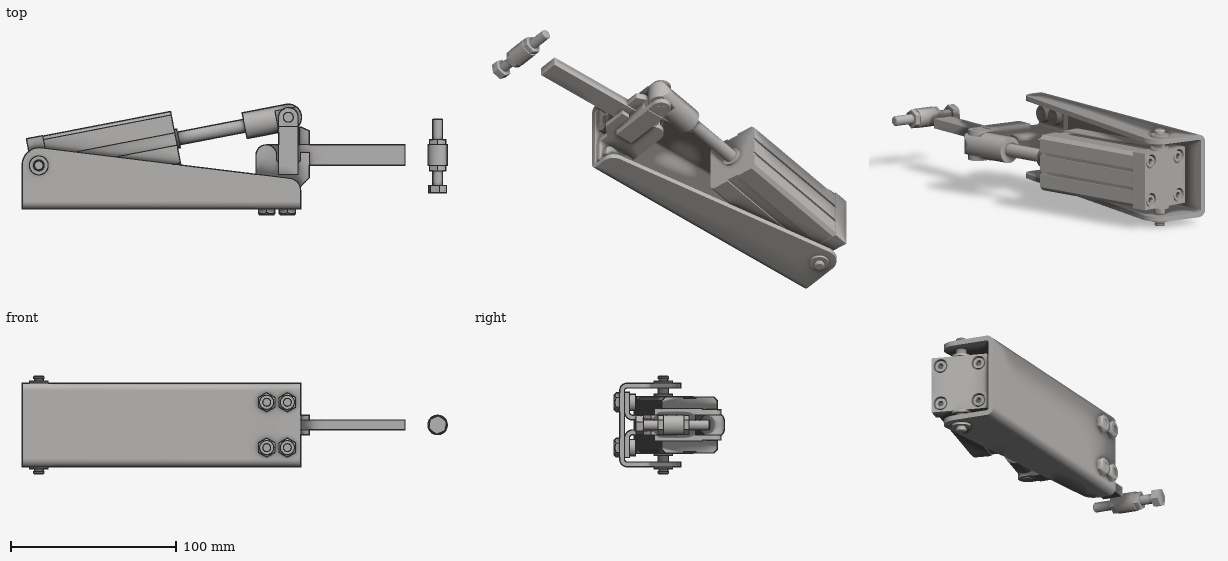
import cadquery as cq
import math


channel_length = 168.4
channel_width = 50.6
sheet = 3.0
bend_radius = 4.5
flange_line_height = 38.45
flange_slope = math.radians(7)
rear_corner_radius = 10.4
front_corner_radius = 7.5

pivot_x, pivot_y = 10.1, 26.4
joint_x, joint_y = 160.9, 55.5
stroke_reach = math.hypot(joint_x - pivot_x, joint_y - pivot_y)
tilt = math.degrees(math.atan2(joint_y - pivot_y, joint_x - pivot_x))
joint_pin_radius = 3.0
joint_pin_length = 19.0

cap_size = 34.6
barrel_size = 34.0
cap_back, cap_front = -4.4, 5.7
barrel_end = 84.4
barrel_chamfer = 2.2
side_slot_width, side_slot_depth = 7.6, 1.0
top_groove_spacing, top_groove_width, top_groove_depth = 11.4, 2.2, 1.0
cap_screw_pitch = 23.8
cap_screw_head_radius, cap_screw_bore_radius = 3.3, 4.4
cap_screw_bore_depth, cap_screw_head_height = 4.0, 3.4
cap_screw_socket = 4.0
nose_radius, nose_length = 5.8, 1.6
rod_radius = 4.0
rod_end_radius = 8.0
rod_end_start, rod_flat_start = 126.6, 146.3
rod_flat_thickness = 12.0

trunnion_radius = 3.25
trunnion_length = 59.0
trunnion_chamfer = 0.6
groove_radius, groove_length = 2.7, 1.4
washer_radius, washer_thickness = 5.7, 1.3

bar_thickness, bar_bottom, bar_top, bar_end = 6.0, 26.4, 38.9, 231.4
bracket_thickness = 3.0
bracket_back, bracket_foot_front, bracket_front = 141.3, 167.4, 173.6
lobe_radius = 6.25
valley_height, valley_fillet = 28.4, 1.5
ear_step_x, ear_height = 168.2, 34.3
ear_chamfer = bracket_front - bracket_foot_front
ear_chamfer_height = 19.0
foot_half_width = 19.8
inner_bend_radius = 1.8
lug_thickness = 4.0
lug_top, lug_chamfer_length, lug_chamfer_height = 49.6, 4.9, 2.3
link_width, link_thickness = 11.8, 19.6
link_bottom, link_top = 21.0, 50.0
fork_thickness, fork_floor = 18.4, 46.0

bolt_columns = (147.8, 160.3)
bolt_z = 13.7
bolt_radius = 3.0
hex_flats = 10.0
hex_corners = hex_flats / math.cos(math.pi / 6)
bolt_head_radius = 5.0
bolt_head_height, nut_height = 3.7, 3.5
nut_chamfer = 1.5
nut_recess_radius, nut_recess_depth = 2.4, 0.5

spindle_radius = 3.0
sleeve_radius = 5.9
spindle_x = 257.0 - sleeve_radius
head_turn = 11
head_bottom, head_top = 9.8, 14.4
lower_nut_bottom, upper_nut_top = 23.1, 42.0
spindle_top = 54.6
spindle_tip_chamfer = 0.6


def box(x0, x1, y0, y1, z0, z1):
    return cq.Workplane("XY").box(x1 - x0, y1 - y0, z1 - z0, centered=False).translate((x0, y0, z0))


def bar_along_x(radius, x0, x1):
    return cq.Workplane("YZ").workplane(offset=x0).circle(radius).extrude(x1 - x0)


def disc_along_y(radius, x, z, y0, y1):
    plane = cq.Plane(origin=(x, y0, z), xDir=(1, 0, 0), normal=(0, 1, 0))
    return cq.Workplane(plane).circle(radius).extrude(y1 - y0)


def hex_along_y(x, z, y0, y1):
    """Hexagon with two corners pointing along Z."""
    plane = cq.Plane(origin=(x, y0, z), xDir=(0, 0, 1), normal=(0, 1, 0))
    return cq.Workplane(plane).polygon(6, hex_corners).extrude(y1 - y0)


def disc_along_z(radius, x, y, z0, z1):
    return cq.Workplane("XY", origin=(x, y, z0)).circle(radius).extrude(z1 - z0)


def centered_pin(radius, x, y, length):
    return disc_along_z(radius, x, y, -length / 2, length / 2)


def mirrored_pair(half):
    return half.union(half.mirror("XY"))


def make_channel():
    half = channel_width / 2
    section = box(0, channel_length, 0, flange_line_height, -half, half)
    section = section.edges("|X and <Y").fillet(bend_radius)
    inside = box(0, channel_length, sheet, flange_line_height, sheet - half, half - sheet)
    section = section.cut(inside.edges("|X and <Y").fillet(bend_radius - sheet))
    front_height = flange_line_height - channel_length * math.tan(flange_slope)
    side = (
        cq.Workplane("XY", origin=(0, 0, -half))
        .polyline([(0, 0), (channel_length, 0), (channel_length, front_height), (0, flange_line_height)])
        .close()
        .extrude(channel_width)
    )
    side = side.edges("|Z and >Y").fillet(rear_corner_radius)
    front_corner = cq.selectors.NearestToPointSelector((channel_length, front_height, 0))
    side = side.edges(front_corner).fillet(front_corner_radius)
    channel = section.intersect(side)
    channel = channel.cut(centered_pin(trunnion_radius, pivot_x, pivot_y, channel_width))
    for x in bolt_columns:
        for z in (-bolt_z, bolt_z):
            channel = channel.cut(disc_along_y(bolt_radius, x, z, 0, sheet))
    return channel


def make_barrel():
    """Square barrel with chamfered edges, a slot in each side and two grooves in the top."""
    half = barrel_size / 2
    barrel = box(cap_front, barrel_end, -half, half, -half, half).edges("|X").chamfer(barrel_chamfer)
    for side in (-1, 1):
        slot = cq.Workplane("XY").box(2 * barrel_end, side_slot_width, 2 * side_slot_depth)
        barrel = barrel.cut(slot.translate((cap_front + barrel_end, 0, side * half)))
        groove = cq.Workplane("XY").box(2 * barrel_end, 2 * top_groove_depth, top_groove_width)
        barrel = barrel.cut(groove.translate((cap_front + barrel_end, half, side * top_groove_spacing / 2)))
    return barrel


def make_cap():
    """Rear cap with four socket head screws in counterbores."""
    half = cap_size / 2
    back = cq.Workplane("YZ", origin=(cap_back, 0, 0)).rect(
        cap_screw_pitch, cap_screw_pitch, forConstruction=True).vertices()
    bores = back.circle(cap_screw_bore_radius).extrude(cap_screw_bore_depth)
    bore_floor = cq.Workplane("YZ", origin=(cap_back + cap_screw_bore_depth, 0, 0)).rect(
        cap_screw_pitch, cap_screw_pitch, forConstruction=True).vertices()
    heads = bore_floor.circle(cap_screw_head_radius).extrude(-cap_screw_head_height)
    sockets = bore_floor.polygon(6, cap_screw_socket).extrude(-cap_screw_head_height)
    return box(cap_back, cap_front, -half, half, -half, half).cut(bores).union(heads.cut(sockets))


def make_rod():
    """Piston rod and rod end; the rod end is flattened and rounded about the joint pin."""
    nose = bar_along_x(nose_radius, barrel_end, barrel_end + nose_length)
    rod = bar_along_x(rod_radius, barrel_end, rod_end_start)
    rod_end = bar_along_x(rod_end_radius, rod_end_start, stroke_reach + rod_end_radius)
    half_flat = rod_flat_thickness / 2
    rounded_eye = centered_pin(rod_end_radius, stroke_reach, 0, rod_flat_thickness).union(
        box(rod_flat_start, stroke_reach, -rod_end_radius, rod_end_radius, -half_flat, half_flat))
    shank = box(rod_end_start, rod_flat_start, -rod_end_radius, rod_end_radius,
                -rod_end_radius, rod_end_radius)
    rod_end = rod_end.intersect(rounded_eye.union(shank))
    rod_end = rod_end.cut(centered_pin(joint_pin_radius, stroke_reach, 0, rod_flat_thickness))
    return nose.union(rod).union(rod_end)


def make_trunnion():
    """Cross pin with an inner washer on the cap and an outer washer on the channel flange."""
    trunnion = centered_pin(trunnion_radius, 0, 0, trunnion_length)
    trunnion = trunnion.faces("<Z or >Z").chamfer(trunnion_chamfer)
    for start in (cap_size / 2, channel_width / 2):
        washer = disc_along_z(washer_radius, 0, 0, start, start + washer_thickness)
        trunnion = trunnion.union(mirrored_pair(washer))
    groove_start = channel_width / 2 + washer_thickness
    groove_end = groove_start + groove_length
    groove = disc_along_z(trunnion_radius, 0, 0, groove_start, groove_end).cut(
        disc_along_z(groove_radius, 0, 0, groove_start, groove_end))
    return trunnion.cut(mirrored_pair(groove))


def make_cylinder():
    cylinder = make_cap().union(make_barrel()).union(make_rod()).union(make_trunnion())
    return cylinder.rotate((0, 0, 0), (0, 0, 1), tilt).translate((pivot_x, pivot_y, 0))


def make_bracket():
    """Angle bracket on the +Z side: an upright side plate and a foot on the channel web."""
    inner = bar_thickness / 2
    outer = inner + bracket_thickness
    lobe_x = bracket_back + lobe_radius
    plate = (
        cq.Workplane("XY", origin=(0, 0, inner))
        .moveTo(bracket_back, sheet)
        .lineTo(bracket_back, bar_top - lobe_radius)
        .threePointArc((lobe_x, bar_top), (lobe_x + lobe_radius, bar_top - lobe_radius))
        .lineTo(lobe_x + lobe_radius, valley_height)
        .lineTo(ear_step_x, valley_height)
        .lineTo(ear_step_x, ear_height)
        .lineTo(bracket_front, ear_height)
        .lineTo(bracket_front, ear_chamfer_height)
        .lineTo(bracket_foot_front, ear_chamfer_height - ear_chamfer)
        .lineTo(bracket_foot_front, sheet)
        .close()
        .extrude(bracket_thickness)
    )
    for x in (lobe_x + lobe_radius, ear_step_x):
        valley_corner = cq.selectors.NearestToPointSelector((x, valley_height, (inner + outer) / 2))
        plate = plate.edges(valley_corner).fillet(valley_fillet)
    foot_top = sheet + bracket_thickness
    foot = box(bracket_back, bracket_foot_front, sheet, foot_top, inner, foot_half_width)
    bracket = plate.union(foot)
    inside_bend = cq.selectors.NearestToPointSelector((lobe_x, foot_top, outer))
    bracket = bracket.edges(inside_bend).fillet(inner_bend_radius)
    outside_bend = cq.selectors.NearestToPointSelector((lobe_x, sheet, inner))
    bracket = bracket.edges(outside_bend).fillet(inner_bend_radius + bracket_thickness)
    for x in bolt_columns:
        bracket = bracket.cut(disc_along_y(bolt_radius, x, bolt_z, sheet, foot_top))
    return bracket


def make_arm():
    """Flat bar with a stop lug on top of it."""
    half = bar_thickness / 2
    bar = box(bracket_back + lobe_radius, bar_end, bar_bottom, bar_top, -half, half)
    lug = (
        cq.Workplane("XY", origin=(0, 0, -lug_thickness / 2))
        .moveTo(joint_x, bar_bottom)
        .lineTo(bracket_front, bar_bottom)
        .lineTo(bracket_front, lug_top - lug_chamfer_height)
        .lineTo(bracket_front - lug_chamfer_length, lug_top)
        .lineTo(bracket_foot_front, lug_top)
        .lineTo(bracket_foot_front, bar_top)
        .lineTo(joint_x, bar_top)
        .close()
        .extrude(lug_thickness)
    )
    return bar.union(lug)


def make_link():
    """Upright block whose forked top carries the joint pin."""
    half_width = link_width / 2
    x0, x1 = joint_x - half_width, joint_x + half_width
    block = box(x0, x1, link_bottom, link_top, -link_thickness / 2, link_thickness / 2)
    fork = box(x0, x1, link_bottom, joint_y, -fork_thickness / 2, fork_thickness / 2)
    fork = fork.union(centered_pin(half_width, joint_x, joint_y, fork_thickness))
    half_gap = rod_flat_thickness / 2
    gap = box(x0, x1, fork_floor, joint_y + link_width, -half_gap, half_gap)
    return block.union(fork).cut(gap)


def make_clamp():
    clamp = make_arm().union(make_link()).union(mirrored_pair(make_bracket()))
    return clamp.union(centered_pin(joint_pin_radius, joint_x, joint_y, joint_pin_length))


def make_bolt(x, z):
    """Bolt with its round head on the bracket foot and its nut under the web."""
    head_seat = sheet + bracket_thickness
    head = disc_along_y(bolt_head_radius, x, z, head_seat, head_seat + bolt_head_height)
    shank = disc_along_y(bolt_radius, x, z, -nut_height, head_seat)
    dome = disc_along_y(hex_corners / 2, x, z, -nut_height, 0).faces("<Y").chamfer(nut_chamfer)
    nut = hex_along_y(x, z, -nut_height, 0).intersect(dome)
    recess = disc_along_y(nut_recess_radius, x, z, -nut_height, nut_recess_depth - nut_height)
    return head.union(shank).union(nut).cut(recess)


def make_spindle():
    """Hex head screw locked in a sleeve by two nuts."""
    shaft = disc_along_y(spindle_radius, spindle_x, 0, head_bottom, spindle_top)
    shaft = shaft.faces(">Y").chamfer(spindle_tip_chamfer)
    sleeve = disc_along_y(sleeve_radius, spindle_x, 0, bar_bottom, bar_top)
    spindle = shaft.union(sleeve)
    head = hex_along_y(0, 0, head_bottom, head_top).rotate((0, 0, 0), (0, 1, 0), head_turn)
    spindle = spindle.union(head.translate((spindle_x, 0, 0)))
    for bottom, top in ((lower_nut_bottom, bar_bottom), (bar_top, upper_nut_top)):
        spindle = spindle.union(hex_along_y(spindle_x, 0, bottom, top))
    return spindle


channel = make_channel()
cylinder = make_cylinder()
clamp = make_clamp()
bolts = [make_bolt(x, z) for x in bolt_columns for z in (-bolt_z, bolt_z)]
spindle = make_spindle()

result = cq.Compound.makeCompound(
    [channel.val(), cylinder.val(), clamp.val(), *[bolt.val() for bolt in bolts], spindle.val()]
)